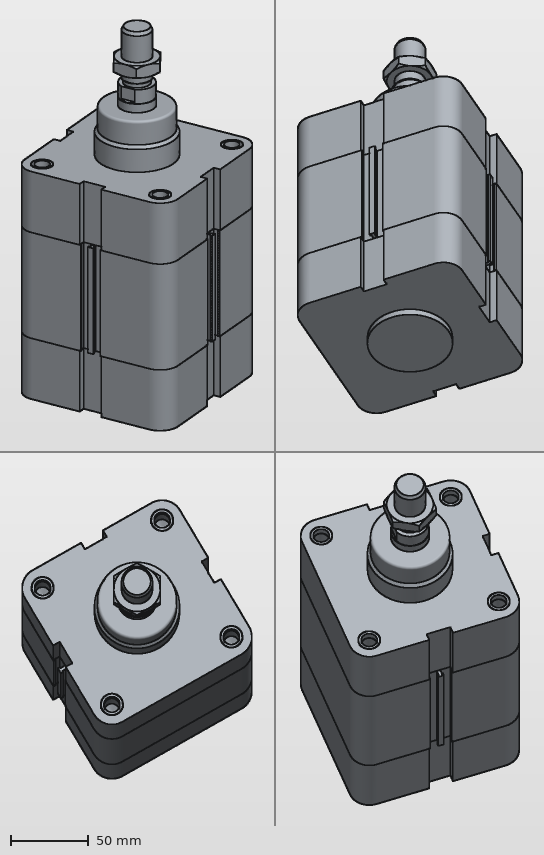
import cadquery as cq
import math

BODY_WIDTH = 115.5
CORNER_RADIUS = 13.5
COVER_HEIGHT = 43.3
TUBE_HEIGHT = 75.3
REAR_BOSS_HEIGHT = 4.6
TOTAL_HEIGHT = 258.0

REAR_COVER_Z = REAR_BOSS_HEIGHT
TUBE_Z = REAR_COVER_Z + COVER_HEIGHT
HEAD_COVER_Z = TUBE_Z + TUBE_HEIGHT
HEAD_TOP_Z = HEAD_COVER_Z + COVER_HEIGHT

SLOT_WIDTH = 16.3
SLOT_DEPTH = 5.0
SLOT_MOUTH_WIDTH = 14.7
LIP_THICKNESS = 1.5
RAIL_HEAD_WIDTH = 3.9
RAIL_STEM_WIDTH = 2.3
SLOT_FACE_ANGLES = (-90, 0, 90)

HOLE_SPACING = 89.0
HOLE_DIAMETER = 10.0
HOLE_DEPTH = 20.6
DRILL_POINT_ANGLE = 118
MOUTH_DIAMETER = 10.3
MOUTH_DEPTH = 4.6
GROOVE_OUTER_DIAMETER = 14.5
GROOVE_INNER_DIAMETER = 14.0

BOSS_DIAMETER = 55.0
COLLAR_DIAMETER = 51.0
COLLAR_TOP_Z = 202.0
COLLAR_STEP_Z = 185.2
COLLAR_CONE_HEIGHT = 2.3
COLLAR_TOP_FILLET = 1.8

ROD_DIAMETER = 25.0
ROD_SHOULDER_Z = 208.2
WRENCH_DIAMETER = 24.5
WRENCH_TOP_Z = 218.3
UNDERCUT_DIAMETER = 18.5
UNDERCUT_TOP_Z = 221.4
THREAD_DIAMETER = 20.0
TIP_DIAMETER = 17.5
TIP_CHAMFER_HEIGHT = 2.5
TIP_CHAMFER_Z = TOTAL_HEIGHT - TIP_CHAMFER_HEIGHT
FLATS_WIDTH = 22.2
FLATS_BOTTOM_Z = 209.5

NUT_FLATS_WIDTH = 30.0
NUT_HEIGHT = 8.8
NUT_Z = 227.8
NUT_CHAMFER_ANGLE = 30


def cylinder(diameter, bottom_z, top_z):
    return cq.Workplane("XY").workplane(offset=bottom_z).circle(diameter / 2).extrude(top_z - bottom_z)


def face_prism(width, outer_depth, inner_depth, bottom_z, height, angle):
    """Box centred on the body face at `angle` from -Y, between two depths below that face."""
    face_y = -BODY_WIDTH / 2
    box = cq.Workplane("XY").box(width, inner_depth - outer_depth, height, centered=(True, False, False))
    return box.translate((0, face_y + outer_depth, bottom_z)).rotate((0, 0, 0), (0, 0, 1), angle)


def body_block(bottom_z, height):
    """Rounded square block with a plain slot in each slotted face."""
    block = cq.Workplane("XY").workplane(offset=bottom_z).rect(BODY_WIDTH, BODY_WIDTH).extrude(height)
    block = block.edges("|Z").fillet(CORNER_RADIUS)
    for angle in SLOT_FACE_ANGLES:
        block = block.cut(face_prism(SLOT_WIDTH, 0, SLOT_DEPTH, bottom_z, height, angle))
    return block


def make_rear_cover():
    boss = cylinder(BOSS_DIAMETER, 0, REAR_COVER_Z)
    return body_block(REAR_COVER_Z, COVER_HEIGHT).union(boss)


def make_tube():
    """Block whose slots have lips at the mouth and a T-shaped rail down the middle."""
    tube = body_block(TUBE_Z, TUBE_HEIGHT)
    for angle in SLOT_FACE_ANGLES:
        lips = face_prism(SLOT_WIDTH, 0, LIP_THICKNESS, TUBE_Z, TUBE_HEIGHT, angle)
        mouth = face_prism(SLOT_MOUTH_WIDTH, 0, LIP_THICKNESS, TUBE_Z, TUBE_HEIGHT, angle)
        rail_head = face_prism(RAIL_HEAD_WIDTH, 0, LIP_THICKNESS, TUBE_Z, TUBE_HEIGHT, angle)
        rail_stem = face_prism(RAIL_STEM_WIDTH, 0, SLOT_DEPTH, TUBE_Z, TUBE_HEIGHT, angle)
        tube = tube.union(lips.cut(mouth)).union(rail_stem.union(rail_head))
    return tube


def make_collar():
    """Two-step round collar with a cone between the steps and a rounded top edge."""
    cone_bottom_z = COLLAR_STEP_Z - COLLAR_CONE_HEIGHT
    profile = (
        cq.Workplane("XZ")
        .moveTo(0, HEAD_TOP_Z)
        .lineTo(BOSS_DIAMETER / 2, HEAD_TOP_Z)
        .lineTo(BOSS_DIAMETER / 2, cone_bottom_z)
        .lineTo(COLLAR_DIAMETER / 2, COLLAR_STEP_Z)
        .lineTo(COLLAR_DIAMETER / 2, COLLAR_TOP_Z)
        .lineTo(0, COLLAR_TOP_Z)
        .close()
    )
    return profile.revolve(360, (0, 0), (0, 1)).faces(">Z").edges().fillet(COLLAR_TOP_FILLET)


def mounting_hole():
    """Blind hole with a wider mouth and a drill point, and the thin ring groove around it."""
    radius = HOLE_DIAMETER / 2
    point_height = radius / math.tan(math.radians(DRILL_POINT_ANGLE / 2))
    profile = (
        cq.Workplane("XZ")
        .lineTo(MOUTH_DIAMETER / 2, 0)
        .lineTo(MOUTH_DIAMETER / 2, -MOUTH_DEPTH)
        .lineTo(radius, -MOUTH_DEPTH)
        .lineTo(radius, -HOLE_DEPTH)
        .lineTo(0, -HOLE_DEPTH - point_height)
        .close()
    )
    hole = profile.revolve(360, (0, 0), (0, 1))
    groove = cylinder(GROOVE_OUTER_DIAMETER, -MOUTH_DEPTH, 0)
    groove = groove.cut(cylinder(GROOVE_INNER_DIAMETER, -MOUTH_DEPTH, 0))
    return hole, groove


def make_head_cover():
    cover = body_block(HEAD_COVER_Z, COVER_HEIGHT).union(make_collar())
    cover = cover.cut(cylinder(ROD_DIAMETER, HEAD_COVER_Z, COLLAR_TOP_Z))
    offset = HOLE_SPACING / 2
    for x in (-offset, offset):
        for y in (-offset, offset):
            for cutter in mounting_hole():
                cover = cover.cut(cutter.translate((x, y, HEAD_TOP_Z)))
    return cover


def wrench_flat_cut():
    """Material outside the +Y wrench flat, with a 45 degree run-out at its lower end."""
    flat_y = FLATS_WIDTH / 2
    reach = WRENCH_DIAMETER / 2 - flat_y
    outline = (
        cq.Workplane("YZ")
        .moveTo(flat_y, WRENCH_TOP_Z)
        .lineTo(flat_y, FLATS_BOTTOM_Z)
        .lineTo(flat_y + reach, FLATS_BOTTOM_Z - reach)
        .lineTo(flat_y + reach, WRENCH_TOP_Z)
        .close()
    )
    return outline.extrude(WRENCH_DIAMETER / 2, both=True)


def make_rod():
    """Stepped rod from the tube up to the chamfered thread tip."""
    rod = cylinder(ROD_DIAMETER, HEAD_COVER_Z, ROD_SHOULDER_Z)
    wrench_section = cylinder(WRENCH_DIAMETER, ROD_SHOULDER_Z, WRENCH_TOP_Z)
    for angle in (0, 180):
        wrench_section = wrench_section.cut(wrench_flat_cut().rotate((0, 0, 0), (0, 0, 1), angle))
    undercut = cylinder(UNDERCUT_DIAMETER, WRENCH_TOP_Z, UNDERCUT_TOP_Z)
    thread = cylinder(THREAD_DIAMETER, UNDERCUT_TOP_Z, TIP_CHAMFER_Z)
    tip = cq.Solid.makeCone(
        THREAD_DIAMETER / 2, TIP_DIAMETER / 2, TIP_CHAMFER_HEIGHT, cq.Vector(0, 0, TIP_CHAMFER_Z)
    )
    return rod.union(wrench_section).union(undercut).union(thread).union(tip)


def make_nut():
    """Hexagon nut with conical chamfers on both ends, corners along X."""
    corner_radius = NUT_FLATS_WIDTH / math.sqrt(3)
    face_radius = NUT_FLATS_WIDTH / 2
    chamfer_height = (corner_radius - face_radius) * math.tan(math.radians(NUT_CHAMFER_ANGLE))
    hexagon = cq.Workplane("XY").polygon(6, 2 * corner_radius).extrude(NUT_HEIGHT)
    envelope = (
        cq.Workplane("XZ")
        .lineTo(face_radius, 0)
        .lineTo(corner_radius, chamfer_height)
        .lineTo(corner_radius, NUT_HEIGHT - chamfer_height)
        .lineTo(face_radius, NUT_HEIGHT)
        .lineTo(0, NUT_HEIGHT)
        .close()
        .revolve(360, (0, 0), (0, 1))
    )
    nut = hexagon.intersect(envelope).translate((0, 0, NUT_Z))
    return nut.cut(cylinder(THREAD_DIAMETER, NUT_Z, NUT_Z + NUT_HEIGHT))


rear_cover = make_rear_cover()
tube = make_tube()
head_cover = make_head_cover()
rod = make_rod()
nut = make_nut()

result = cq.Compound.makeCompound(
    [rear_cover.val(), tube.val(), head_cover.val(), rod.val(), nut.val()]
)